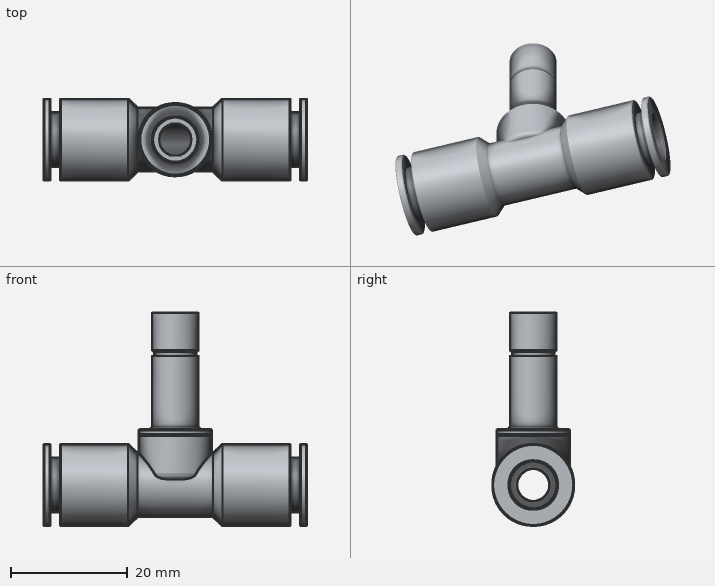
import cadquery as cq

length = 45.0
collar_diameter = 14.0
collar_width = 1.15
neck_diameter = 9.4
body_end = 19.7
cone_outer = 8.05
waist_end = 6.5
waist_diameter = 11.0
edge_chamfer = 0.15

bore_diameter = 5.5
socket_diameter = 8.0
socket_depth = 14.4
socket_chamfer_depth = 0.3
socket_chamfer_width = 0.22

boss_diameter = 12.5
boss_bottom = 0.9
boss_fillet = 1.0
boss_top = 8.35
flange_bottom = 8.75
flange_top = 9.6
flange_chamfer = 0.25
boss_groove_diameter = 12.05
boss_groove_slope = 0.22
stem_diameter = 8.0
stem_root_fillet = 0.4
stem_groove_diameter = 7.2
stem_groove_bottom = 22.05
stem_groove_top = 23.05
stem_groove_slope = 0.25
stem_tip_chamfer_height = 0.15
stem_tip_chamfer_width = 0.22
height = 36.5

stem_top = height - collar_diameter / 2


def solid_run():
    """Revolve the stepped outline of the run about X."""
    end = length / 2
    collar_radius = collar_diameter / 2
    collar_inner = end - collar_width
    waist_radius = waist_diameter / 2
    right_side = [
        (waist_end, waist_radius),
        (cone_outer, collar_radius),
        (body_end - edge_chamfer, collar_radius),
        (body_end, collar_radius - edge_chamfer),
        (body_end, neck_diameter / 2),
        (collar_inner, neck_diameter / 2),
        (collar_inner, collar_radius - edge_chamfer),
        (collar_inner + edge_chamfer, collar_radius),
        (end - edge_chamfer, collar_radius),
        (end, collar_radius - edge_chamfer),
        (end, 0),
    ]
    left_side = [(-x, radius) for x, radius in reversed(right_side)]
    outline = cq.Workplane("XY").polyline(left_side + right_side).close()
    return outline.revolve(360, (0, 0, 0), (1, 0, 0))


def solid_branch():
    """Revolve the boss, flange and grooved stem about Z."""
    boss_radius = boss_diameter / 2
    boss_groove_radius = boss_groove_diameter / 2
    stem_radius = stem_diameter / 2
    stem_groove_radius = stem_groove_diameter / 2
    return (
        cq.Workplane("XZ")
        .moveTo(0, boss_bottom)
        .lineTo(boss_radius - boss_fillet, boss_bottom)
        .radiusArc((boss_radius, boss_bottom + boss_fillet), -boss_fillet)
        .lineTo(boss_radius, boss_top)
        .lineTo(boss_groove_radius, boss_top)
        .lineTo(boss_groove_radius, flange_bottom - boss_groove_slope)
        .lineTo(boss_radius, flange_bottom)
        .lineTo(boss_radius, flange_top - flange_chamfer)
        .lineTo(boss_radius - flange_chamfer, flange_top)
        .lineTo(stem_radius + stem_root_fillet, flange_top)
        .radiusArc((stem_radius, flange_top + stem_root_fillet), stem_root_fillet)
        .lineTo(stem_radius, stem_groove_bottom)
        .lineTo(stem_groove_radius, stem_groove_bottom)
        .lineTo(stem_groove_radius, stem_groove_top - stem_groove_slope)
        .lineTo(stem_radius, stem_groove_top)
        .lineTo(stem_radius, stem_top - stem_tip_chamfer_height)
        .lineTo(stem_radius - stem_tip_chamfer_width, stem_top)
        .lineTo(0, stem_top)
        .close()
        .revolve(360, (0, 0, 0), (0, 1, 0))
    )


def run_bore():
    """Through bore along X with a chamfered tube socket at each end."""
    cutter = cq.Workplane("YZ").circle(bore_diameter / 2).extrude(length / 2, both=True)
    socket_radius = socket_diameter / 2
    for side in (-1, 1):
        mouth = side * length / 2
        floor = side * (length / 2 - socket_depth)
        chamfer_end = side * (length / 2 - socket_chamfer_depth)
        socket = (
            cq.Workplane("XY")
            .polyline([
                (floor, 0),
                (floor, socket_radius),
                (chamfer_end, socket_radius),
                (mouth, socket_radius + socket_chamfer_width),
                (mouth, 0),
            ])
            .close()
            .revolve(360, (0, 0, 0), (1, 0, 0))
        )
        cutter = cutter.union(socket)
    return cutter


def stem_bore():
    """Bore down the stem that opens into the run bore."""
    return cq.Workplane("XY").circle(bore_diameter / 2).extrude(stem_top)


result = solid_run().union(solid_branch()).cut(run_bore()).cut(stem_bore())